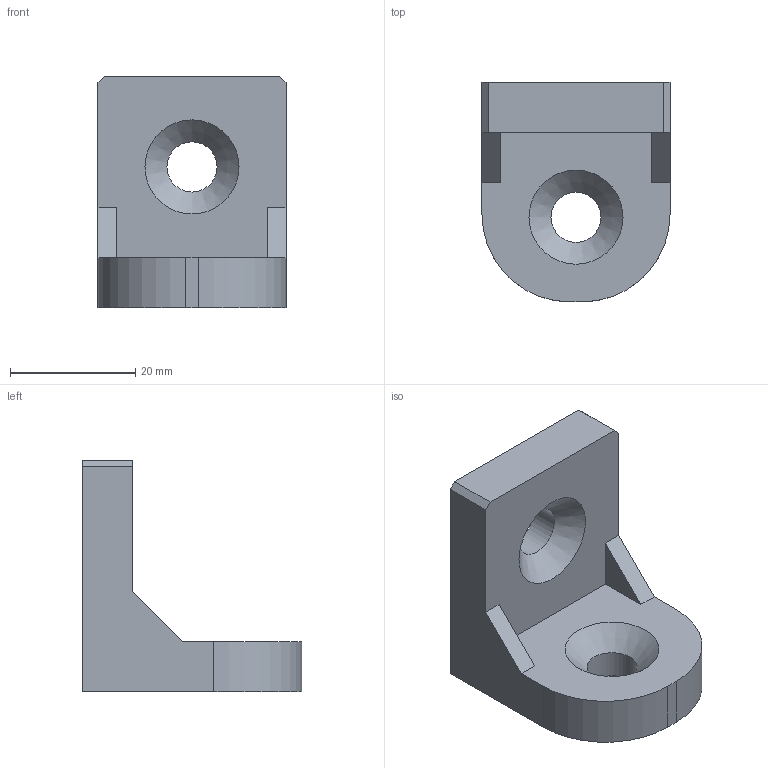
import cadquery as cq
import math

width = 30.0
depth = 35.0
height = 37.0
thickness = 8.0

corner_radius = 14.0
top_chamfer = 1.0

rib_width = 3.0
rib_size = 8.0

hole_diameter = 8.0
countersink_diameter = 15.0
countersink_angle = 90.0
base_hole_y = -21.5
wall_hole_z = 22.5


def make_base():
    """Flat base plate with rounded front corners."""
    plate = cq.Workplane("XY").box(width, depth, thickness, centered=(True, False, False))
    plate = plate.translate((0, -depth, 0))
    return plate.edges("|Z and <Y").fillet(corner_radius)


def make_wall():
    """Upright wall along the back with chamfered upper side edges."""
    wall = cq.Workplane("XY").box(width, thickness, height, centered=(True, False, False))
    wall = wall.translate((0, -thickness, 0))
    return wall.faces(">Z").edges("|Y").chamfer(top_chamfer)


def make_rib(start_x):
    """Triangular rib between base and wall, spanning rib_width from start_x."""
    return (
        cq.Workplane("YZ", origin=(start_x, -thickness, thickness))
        .lineTo(-rib_size, 0)
        .lineTo(0, rib_size)
        .close()
        .extrude(rib_width)
    )


def make_countersunk_cutter(mouth, direction):
    """Through-hole cutter whose conical mouth opens at the given point."""
    countersink_radius = countersink_diameter / 2
    hole_radius = hole_diameter / 2
    half_angle = math.radians(countersink_angle / 2)
    countersink_depth = (countersink_radius - hole_radius) / math.tan(half_angle)
    start = cq.Vector(*mouth)
    axis = cq.Vector(*direction)
    hole = cq.Solid.makeCylinder(hole_radius, thickness, start, axis)
    cone = cq.Solid.makeCone(countersink_radius, hole_radius, countersink_depth, start, axis)
    return hole.fuse(cone)


result = make_base().union(make_wall())
for rib_start in (-width / 2, width / 2 - rib_width):
    result = result.union(make_rib(rib_start))

result = result.cut(make_countersunk_cutter((0, base_hole_y, thickness), (0, 0, -1)))
result = result.cut(make_countersunk_cutter((0, -thickness, wall_hole_z), (0, 1, 0)))